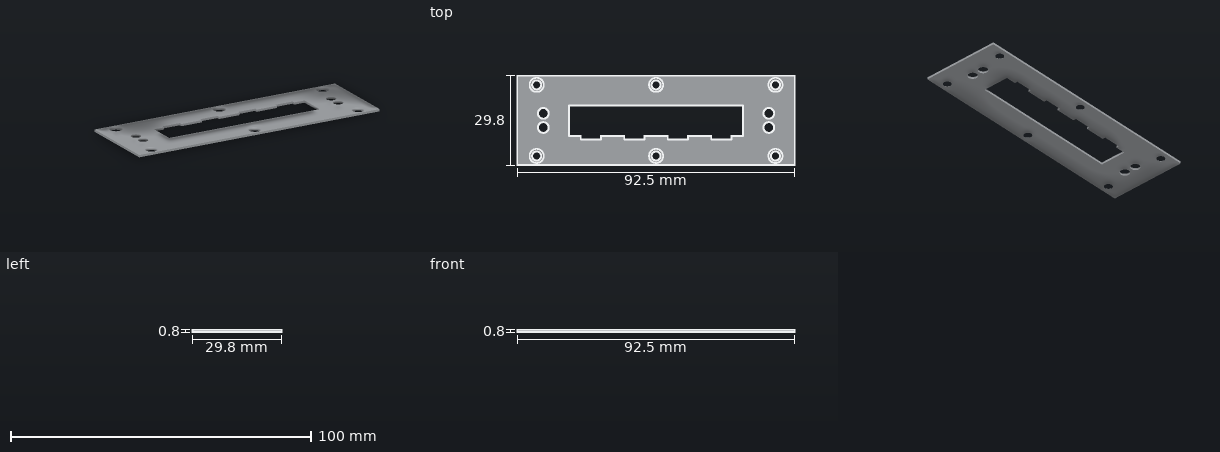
import cadquery as cq

plate_length = 92.5
plate_width = 29.8
plate_thickness = 0.8

screw_column_spacing = 39.8
screw_row_spacing = 23.7
screw_hole_diameter = 3.0
countersink_diameter = 4.7

side_hole_diameter = 3.5
side_hole_spacing_x = 75.1
side_hole_spacing_y = 4.7

window_length = 57.9
window_top = 4.9
window_bottom = -5.2
notch_count = 4
notch_length = 6.7
notch_depth = 1.1
notch_pitch = window_length / notch_count


def make_plate():
    return cq.Workplane("XY").rect(plate_length, plate_width).extrude(plate_thickness)


def cut_screw_holes(plate):
    """Cones that narrow from the top face to the screw diameter at the bottom face."""
    cone = cq.Solid.makeCone(screw_hole_diameter / 2, countersink_diameter / 2, plate_thickness)
    cones = (
        cq.Workplane("XY")
        .rarray(screw_column_spacing, screw_row_spacing, 3, 2)
        .eachpoint(lambda place: cone.moved(place))
    )
    return plate.cut(cones)


def cut_side_holes(plate):
    holes = (
        cq.Workplane("XY")
        .rarray(side_hole_spacing_x, side_hole_spacing_y, 2, 2)
        .circle(side_hole_diameter / 2)
        .extrude(plate_thickness)
    )
    return plate.cut(holes)


def cut_window(plate):
    """Window opening joined with one notch in the middle of each equal bay."""
    window = (
        cq.Workplane("XY")
        .center(0, (window_top + window_bottom) / 2)
        .rect(window_length, window_top - window_bottom)
        .extrude(plate_thickness)
    )
    notch_bottom = window_bottom - notch_depth
    notches = (
        cq.Workplane("XY")
        .center(0, (window_top + notch_bottom) / 2)
        .rarray(notch_pitch, 0.9, notch_count, 1)
        .rect(notch_length, window_top - notch_bottom)
        .extrude(plate_thickness)
    )
    return plate.cut(window).cut(notches)


result = make_plate()
result = cut_screw_holes(result)
result = cut_side_holes(result)
result = cut_window(result)